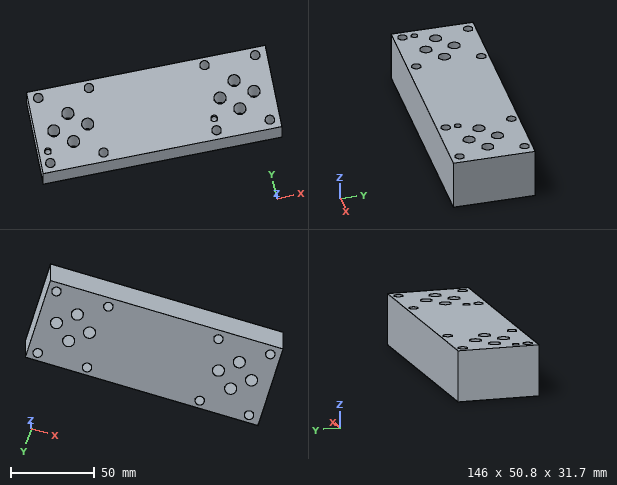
import cadquery as cq
import math

LENGTH = 146.0
WIDTH = 50.8
HEIGHT = 31.7

STATION_PITCH = 101.7
FIRST_STATION_X = 21.8
STATION_CENTRES = [FIRST_STATION_X, FIRST_STATION_X + STATION_PITCH]

BOLT_DIAMETER = 5.5
FRONT_BOLT_SPACING = 32.5
REAR_BOLT_SPACING = 31.0
FRONT_BOLT_Y = 5.5
BOLT_ROW_SPACING = 40.5
REAR_BOLT_Y = FRONT_BOLT_Y + BOLT_ROW_SPACING

PORT_DIAMETER = 7.2
PORT_OFFSET_FROM_BOLTS = 19.0
PORT_CENTRE_Y = FRONT_BOLT_Y + PORT_OFFSET_FROM_BOLTS
PORT_SPACING_X = 20.7
PORT_SPACING_Y = 17.5

PIN_DIAMETER = 4.0
PIN_DEPTH = 4.4
PIN_OFFSET_FROM_BOLT = 7.5
DRILL_POINT_ANGLE = 118.0


def bolt_points(centre_x):
    """Centres of the four mounting bolt holes of one station."""
    points = []
    for spacing, y in [(FRONT_BOLT_SPACING, FRONT_BOLT_Y), (REAR_BOLT_SPACING, REAR_BOLT_Y)]:
        points.append((centre_x - spacing / 2, y))
        points.append((centre_x + spacing / 2, y))
    return points


def port_points(centre_x):
    """Centres of the four flow ports of one station."""
    return [
        (centre_x - PORT_SPACING_X / 2, PORT_CENTRE_Y),
        (centre_x + PORT_SPACING_X / 2, PORT_CENTRE_Y),
        (centre_x, PORT_CENTRE_Y - PORT_SPACING_Y / 2),
        (centre_x, PORT_CENTRE_Y + PORT_SPACING_Y / 2),
    ]


def through_holes(points, diameter):
    """Vertical cutters through the full height of the block."""
    return cq.Workplane("XY").pushPoints(points).circle(diameter / 2).extrude(HEIGHT)


def pin_hole(centre_x):
    """Cutter for the blind pin hole, with a conical drill point at its bottom."""
    radius = PIN_DIAMETER / 2
    point_depth = radius / math.tan(math.radians(DRILL_POINT_ANGLE / 2))
    half_profile = (
        cq.Workplane("XZ")
        .moveTo(0, 0)
        .lineTo(radius, 0)
        .lineTo(radius, -PIN_DEPTH)
        .lineTo(0, -PIN_DEPTH - point_depth)
        .close()
    )
    cutter = half_profile.revolve(360, (0, 0), (0, 1))
    pin_x = centre_x - FRONT_BOLT_SPACING / 2
    pin_y = FRONT_BOLT_Y + PIN_OFFSET_FROM_BOLT
    return cutter.translate((pin_x, pin_y, HEIGHT))


result = cq.Workplane("XY").box(LENGTH, WIDTH, HEIGHT, centered=False)

for station_x in STATION_CENTRES:
    result = result.cut(through_holes(bolt_points(station_x), BOLT_DIAMETER))
    result = result.cut(through_holes(port_points(station_x), PORT_DIAMETER))
    result = result.cut(pin_hole(station_x))